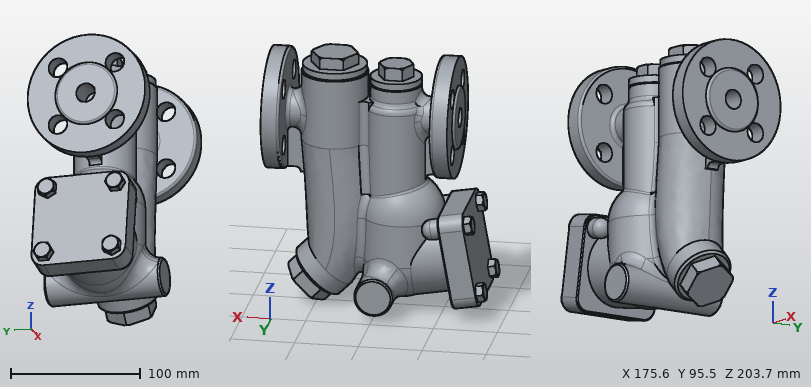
import cadquery as cq
import math

FACE_TO_FACE = 150.0
FLANGE_DIA = 95.0
FLANGE_THICK = 14.0
FLANGE_BACK_ROUND = 2.0
RAISED_DIA = 50.0
RAISED_HEIGHT = 2.0
RAISED_ROUND = 1.9
BOLT_CIRCLE_DIA = 65.0
BOLT_HOLE_DIA = 15.0
BOLT_HOLE_COUNT = 4
BOLT_HOLE_START_ANGLE = 45.0
BORE_DIA = 15.0
BORE_DEPTH = 25.0
NECK_DIA = 30.0
INLET_NECK_BLEND = 7.0
OUTLET_NECK_BLEND = 6.5
NECK_FLANGE_BLEND = 3.0
WEB_THICK = 10.0
WEB_DROP = 46.5
WEB_ROUND = 4.0

INLET_X = 50.0
INLET_DIA = 48.0
INLET_COLLAR_DIA = 40.0
INLET_COLLAR_TOP_Z = 25.0
INLET_SHOULDER_Z = 13.0
INLET_SHOULDER_ROUND = 6.5
INLET_COLLAR_BLEND = 5.5
INLET_CAP_TOP_Z = 31.3
INLET_HEX_TOP_Z = 41.5
INLET_HEX_FLATS = 24.0

OUTLET_X = 98.0
OUTLET_DIA = 52.0
OUTLET_TOP_Z = 32.5
OUTLET_BASE_Z = -22.5
OUTLET_CAP_DIA = 50.0
OUTLET_CAP_TOP_Z = 38.8
OUTLET_HEX_TOP_Z = 48.0
OUTLET_HEX_FLATS = 32.0

GASKET_HEIGHT = 0.8
GASKET_INSET = 0.6
HEX_CHAMFER = 1.2

LEG_END_TILT = 45.0
LEG_MID_TILT = 20.0
LEG_UPPER_X, LEG_UPPER_Z = 94.4, -62.0
LEG_UPPER_DEPTH = 53.0
LEG_MID_X, LEG_MID_Z = 95.0, -99.5
LEG_MID_WIDTH = 51.0
LEG_MID_DEPTH = 52.0
LEG_END_X, LEG_END_Z = 101.3, -122.7
LEG_COLLAR_DIA = 48.0
LEG_COLLAR_LENGTH = 15.5
LEG_COLLAR_CHAMFER = 2.0
LEG_HEX_FLATS = 35.0
LEG_HEX_HEIGHT = 12.2

CHAMBER_X = 44.7
CHAMBER_DIA = 66.0
CHAMBER_TOP_Z = -80.5
CHAMBER_BOTTOM_Z = -114.5
CHAMBER_COLUMN_BLEND = 3.0
LEG_BLEND = 5.0

BRIDGE_TOP_Z = INLET_SHOULDER_Z
BRIDGE_OVERLAP = 5.0

COVER_TILT = 10.0
COVER_DISTANCE = 59.4
COVER_SIZE = 76.0
COVER_THICK = 20.0
COVER_BACK_CHAMFER = 1.0
COVER_CORNER = 10.5
COVER_BOLT_PITCH = 55.0
COVER_BOLT_FLATS = 13.0
COVER_BOLT_HEIGHT = 6.0
BRANCH_DIA = 62.0
BRANCH_Z = -116.0
LUG_DIA = 16.0
LUG_LENGTH = 14.6
LUG_ROUND = LUG_DIA / 2 - 0.1

BOSS_X, BOSS_Z = 59.8, -135.0
BOSS_DIA = 30.0
BOSS_BACK_Y = 48.0
BOSS_FRONT_Y = -45.5
BOSS_CHAMFER = 1.4
BOSS_BLEND = 12.0

SEAM_TOLERANCE = 1e-3


def blend_union(first, second, radius):
    """Join two bodies and round the seam where their surfaces meet."""
    joined = first.union(second)
    shells = [first.val().Shells()[0], second.val().Shells()[0]]

    def on_seam(edge):
        point = cq.Vertex.makeVertex(*edge.positionAt(0.5).toTuple())
        return all(point.distance(shell) < SEAM_TOLERANCE for shell in shells)

    seam = [edge for edge in joined.edges().vals() if on_seam(edge)]
    return joined.newObject(seam).fillet(radius)


def hexagon(plane, flats, height):
    """Hexagon head with its free corners turned off by a cone."""
    across_corners = flats / math.cos(math.pi / 6)
    prism = cq.Workplane(plane).polygon(6, across_corners).extrude(height)
    turned = cq.Workplane(plane).circle(across_corners / 2).extrude(height)
    turned = turned.faces(cq.selectors.DirectionMinMaxSelector(plane.zDir)).chamfer(HEX_CHAMFER)
    return prism.intersect(turned)


def level_plane(x, z):
    return cq.Plane(origin=(x, 0, z))


def disc(x, z_low, z_high, diameter):
    return cq.Workplane(level_plane(x, z_low)).circle(diameter / 2).extrude(z_high - z_low)


def plug(x, base_z, cap_top_z, hex_top_z, cap_dia, hex_flats):
    gasket = disc(x, base_z, base_z + GASKET_HEIGHT, cap_dia - 2 * GASKET_INSET)
    cap = disc(x, base_z + GASKET_HEIGHT, cap_top_z, cap_dia)
    head = hexagon(level_plane(x, cap_top_z), hex_flats, hex_top_z - cap_top_z)
    return gasket.union(cap).union(head)


def make_chamber():
    radius = CHAMBER_DIA / 2
    profile = (
        cq.Workplane("XZ", origin=(CHAMBER_X, 0, 0))
        .moveTo(0, CHAMBER_TOP_Z + radius)
        .radiusArc((radius, CHAMBER_TOP_Z), radius)
        .lineTo(radius, CHAMBER_BOTTOM_Z)
        .radiusArc((0, CHAMBER_BOTTOM_Z - radius), radius)
        .close()
    )
    return profile.revolve(360, (0, 0), (0, 1))


def make_inlet_column():
    column = disc(INLET_X, CHAMBER_TOP_Z, INLET_SHOULDER_Z, INLET_DIA)
    return column.faces(">Z").edges().fillet(INLET_SHOULDER_ROUND)


def make_inlet_collar():
    return disc(INLET_X, CHAMBER_TOP_Z, INLET_COLLAR_TOP_Z, INLET_COLLAR_DIA)


def leg_plane(x, z, tilt):
    """Plane across the leg that leans by tilt degrees, so the leg turns towards +X."""
    lean = math.radians(tilt)
    return cq.Plane(origin=(x, 0, z), xDir=(0, 1, 0), normal=(math.sin(lean), 0, -math.cos(lean)))


def leg_section(plane, width, depth):
    """Oval across the leg: width along Y, depth in the XZ plane."""
    return cq.Wire.makeEllipse(width / 2, depth / 2, plane.origin, plane.zDir, plane.xDir)


def make_outlet_leg():
    column = disc(OUTLET_X, OUTLET_BASE_Z, OUTLET_TOP_Z, OUTLET_DIA)
    end_plane = leg_plane(LEG_END_X, LEG_END_Z, LEG_END_TILT)
    sections = [
        leg_section(leg_plane(OUTLET_X, OUTLET_BASE_Z, 0), OUTLET_DIA, OUTLET_DIA),
        leg_section(leg_plane(LEG_UPPER_X, LEG_UPPER_Z, 0), OUTLET_DIA, LEG_UPPER_DEPTH),
        leg_section(leg_plane(LEG_MID_X, LEG_MID_Z, LEG_MID_TILT), LEG_MID_WIDTH, LEG_MID_DEPTH),
        leg_section(end_plane, LEG_COLLAR_DIA, LEG_COLLAR_DIA),
    ]
    bend = cq.Workplane(cq.Solid.makeLoft(sections))
    collar = cq.Workplane(end_plane).circle(LEG_COLLAR_DIA / 2).extrude(LEG_COLLAR_LENGTH)
    collar = collar.faces(cq.selectors.DirectionMinMaxSelector(end_plane.zDir)).chamfer(LEG_COLLAR_CHAMFER)
    return column.union(bend).union(collar)


def bridge_outline(z, leg_x, leg_dia):
    """Section of the metal between inlet column and leg, with a hollow tangent round on each side."""
    column_reach = INLET_DIA / 2 + LEG_BLEND
    leg_reach = leg_dia / 2 + LEG_BLEND
    distance = leg_x - INLET_X
    offset_x = (column_reach**2 - leg_reach**2 + distance**2) / (2 * distance)
    round_x = INLET_X + offset_x
    round_y = math.sqrt(column_reach**2 - offset_x**2)

    column_share = INLET_DIA / 2 / column_reach
    leg_share = leg_dia / 2 / leg_reach
    x1, y1 = INLET_X + column_share * offset_x, column_share * round_y
    x2, y2 = leg_x - leg_share * (leg_x - round_x), leg_share * round_y
    mid_y = round_y - LEG_BLEND
    return (
        cq.Workplane(level_plane(0, z))
        .moveTo(x1, y1)
        .threePointArc((round_x, mid_y), (x2, y2))
        .lineTo(x2 + BRIDGE_OVERLAP, mid_y)
        .lineTo(x2 + BRIDGE_OVERLAP, -mid_y)
        .lineTo(x2, -y2)
        .threePointArc((round_x, -mid_y), (x1, -y1))
        .lineTo(x1 - BRIDGE_OVERLAP, -mid_y)
        .lineTo(x1 - BRIDGE_OVERLAP, mid_y)
        .close()
    )


def make_bridge():
    upper = bridge_outline(OUTLET_BASE_Z, OUTLET_X, OUTLET_DIA).extrude(BRIDGE_TOP_Z - OUTLET_BASE_Z)
    ends = [
        bridge_outline(OUTLET_BASE_Z, OUTLET_X, OUTLET_DIA).val(),
        bridge_outline(LEG_UPPER_Z, LEG_UPPER_X, LEG_UPPER_DEPTH).val(),
    ]
    return upper.union(cq.Workplane(cq.Solid.makeLoft(ends)))


def make_flange():
    """Flange on the -X end, with a raised face, bolt holes and a neck that reaches the inlet column."""
    disc_face = cq.Plane(origin=(RAISED_HEIGHT, 0, 0), xDir=(0, 1, 0), normal=(1, 0, 0))
    rim = cq.Workplane(disc_face).circle(FLANGE_DIA / 2).extrude(FLANGE_THICK)
    rim = rim.faces(">X").edges().fillet(FLANGE_BACK_ROUND)
    neck = cq.Workplane(disc_face).circle(NECK_DIA / 2).extrude(INLET_X - INLET_DIA / 2 - RAISED_HEIGHT)
    flange = blend_union(rim, neck, NECK_FLANGE_BLEND)
    raised = cq.Workplane(disc_face).circle(RAISED_DIA / 2).extrude(-RAISED_HEIGHT)
    raised = raised.faces("<X").edges().fillet(RAISED_ROUND)
    holes = (
        cq.Workplane(disc_face)
        .polarArray(BOLT_CIRCLE_DIA / 2, BOLT_HOLE_START_ANGLE, 360, BOLT_HOLE_COUNT)
        .circle(BOLT_HOLE_DIA / 2)
        .extrude(FLANGE_THICK)
    )
    return flange.union(raised).cut(holes)


def make_neck(column_x):
    """Neck stub from the middle of a column outwards, along -X."""
    outer_x = RAISED_HEIGHT + FLANGE_THICK + NECK_FLANGE_BLEND
    plane = cq.Plane(origin=(column_x, 0, 0), xDir=(0, 1, 0), normal=(-1, 0, 0))
    return cq.Workplane(plane).circle(NECK_DIA / 2).extrude(column_x - outer_x)


def make_web(column_x, column_dia):
    """Upright web below a neck, from flange back to column, rounded where it runs into the column."""
    start_x = RAISED_HEIGHT + FLANGE_THICK / 2
    surface_x = column_x - column_dia / 2
    web = (
        cq.Workplane("XZ", origin=(0, WEB_THICK / 2, 0))
        .moveTo(start_x, 0)
        .lineTo(start_x, -WEB_DROP)
        .lineTo(surface_x - WEB_ROUND, -WEB_DROP)
        .radiusArc((surface_x, -WEB_DROP - WEB_ROUND), WEB_ROUND)
        .lineTo(column_x, -WEB_DROP - WEB_ROUND)
        .lineTo(column_x, 0)
        .close()
    )
    return web.extrude(WEB_THICK)


def make_bore():
    plane = cq.Plane(origin=(0, 0, 0), xDir=(0, 1, 0), normal=(1, 0, 0))
    return cq.Workplane(plane).circle(BORE_DIA / 2).extrude(BORE_DEPTH)


def other_end(shape):
    """The same feature on the +X end."""
    return shape.mirror("YZ").translate((FACE_TO_FACE, 0, 0))


def cover_plane(distance):
    """Plane across the branch axis, facing outwards with its Y upwards, at a distance from the chamber."""
    lean = math.radians(COVER_TILT)
    outward = cq.Vector(-math.cos(lean), 0, math.sin(lean))
    origin = cq.Vector(CHAMBER_X, 0, BRANCH_Z) + outward * distance
    return cq.Plane(origin=origin, xDir=(0, -1, 0), normal=outward)


def make_branch():
    return cq.Workplane(cover_plane(0)).circle(BRANCH_DIA / 2).extrude(COVER_DISTANCE - COVER_THICK)


def make_cover():
    """Bolted cover and its seat as one plate, with a round-ended lug behind each upper bolt."""
    plate = cq.Workplane(cover_plane(COVER_DISTANCE)).rect(COVER_SIZE, COVER_SIZE).extrude(-COVER_THICK)
    outward = cover_plane(0).zDir
    plate = plate.edges(cq.selectors.ParallelDirSelector(outward)).fillet(COVER_CORNER)
    plate = plate.faces(cq.selectors.DirectionMinMaxSelector(-outward)).chamfer(COVER_BACK_CHAMFER)

    half_pitch = COVER_BOLT_PITCH / 2
    front = cover_plane(COVER_DISTANCE)
    back = cover_plane(COVER_DISTANCE - COVER_THICK)
    for side in (-half_pitch, half_pitch):
        for height in (-half_pitch, half_pitch):
            corner_dir = front.yDir if side * height < 0 else front.xDir
            bolt_plane = cq.Plane(front.toWorldCoords((side, height)), corner_dir, front.zDir)
            plate = plate.union(hexagon(bolt_plane, COVER_BOLT_FLATS, COVER_BOLT_HEIGHT))
        lug_plane = cq.Plane(back.toWorldCoords((side, half_pitch)), back.xDir, -back.zDir)
        lug = cq.Workplane(lug_plane).circle(LUG_DIA / 2).extrude(LUG_LENGTH)
        lug = lug.faces(cq.selectors.DirectionMinMaxSelector(-outward)).edges().fillet(LUG_ROUND)
        plate = plate.union(lug)
    return plate


def make_cross_boss():
    boss = cq.Workplane("XZ", origin=(BOSS_X, BOSS_BACK_Y, BOSS_Z))
    boss = boss.circle(BOSS_DIA / 2).extrude(BOSS_BACK_Y - BOSS_FRONT_Y)
    return boss.faces("<Y or >Y").chamfer(BOSS_CHAMFER)


def make_plugs():
    inlet = plug(
        INLET_X, INLET_COLLAR_TOP_Z, INLET_CAP_TOP_Z, INLET_HEX_TOP_Z, INLET_COLLAR_DIA, INLET_HEX_FLATS
    )
    outlet = plug(
        OUTLET_X, OUTLET_TOP_Z, OUTLET_CAP_TOP_Z, OUTLET_HEX_TOP_Z, OUTLET_CAP_DIA, OUTLET_HEX_FLATS
    )
    return inlet.union(outlet)


def make_leg_hexagon():
    end = leg_plane(LEG_END_X, LEG_END_Z, LEG_END_TILT)
    plane = cq.Plane(end.toWorldCoords((0, 0, LEG_COLLAR_LENGTH)), end.yDir, end.zDir)
    return hexagon(plane, LEG_HEX_FLATS, LEG_HEX_HEIGHT)


chamber = make_chamber()
inlet_column = make_inlet_column()
inlet_collar = make_inlet_collar()
inlet_stack = inlet_column.union(inlet_collar)
outlet_leg = make_outlet_leg()
outlet_column = disc(OUTLET_X, OUTLET_BASE_Z, OUTLET_TOP_Z, OUTLET_DIA)
outlet_neck = other_end(make_neck(FACE_TO_FACE - OUTLET_X))

body = blend_union(chamber, inlet_stack, CHAMBER_COLUMN_BLEND)
body = body.union(blend_union(chamber, outlet_leg, LEG_BLEND))
body = body.union(blend_union(inlet_column, inlet_collar, INLET_COLLAR_BLEND))
body = body.union(make_bridge())
body = body.union(blend_union(chamber.union(make_branch()), make_cross_boss(), BOSS_BLEND))
body = body.union(blend_union(inlet_stack, make_neck(INLET_X), INLET_NECK_BLEND))
body = body.union(blend_union(outlet_column, outlet_neck, OUTLET_NECK_BLEND))
body = body.union(make_web(INLET_X, INLET_DIA))
body = body.union(other_end(make_web(FACE_TO_FACE - OUTLET_X, OUTLET_DIA)))
body = body.union(make_flange()).union(other_end(make_flange()))
body = body.union(make_plugs()).union(make_leg_hexagon()).union(make_cover())
result = body.cut(make_bore()).cut(other_end(make_bore()))